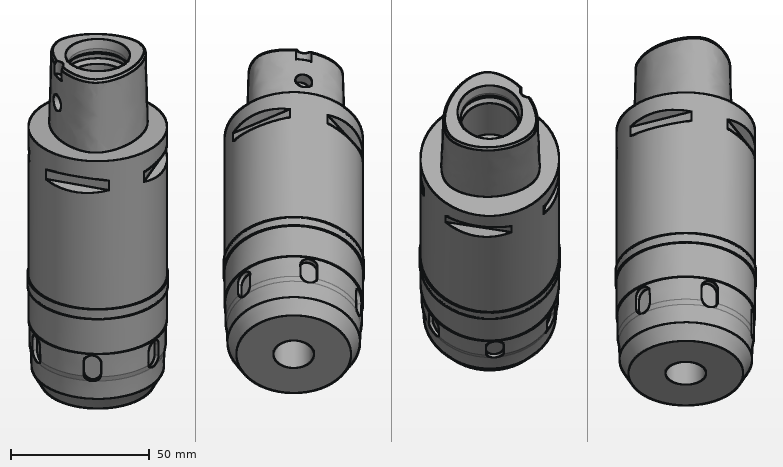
import cadquery as cq
import math

total_height = 135.0

body_radius = 25.0
collar_radius = 25.4
nose_tip_radius = 20.7
nose_radius = 23.9
nut_step_radius = 24.2
nut_rim_radius = 24.6
nut_top_radius = 24.7
nose_level = 6.0
nut_step_level = 13.5
nut_rim_level = 15.5
nut_top_level = 25.1
collar_bottom_level = 39.8
collar_top_level = 43.9

shank_length = 29.7
shank_base_radius = 35.5 / 2
shank_lobe = 1.12
shank_taper = 1 / 40
shank_curve_points = 72
shank_chamfer_height = 1.1
shank_chamfer_inset = 0.7
flange_level = total_height - shank_length

mouth_radius = 11.6
mouth_depth = 3.4
recess_radius = 10.5
recess_depth = shank_length
undercut_radius = 12.0
undercut_start_depth = 4.9
undercut_end_depth = 9.7
bore_radius = 7.3

notch_radius = 3.1
notch_centre_y = -17.0
notch_depth = 5.3
locating_hole_radius = 3.1
locating_hole_level = 119.2
locating_hole_floor = 11.9

groove_count = 4
groove_first_angle = 45
groove_level = 95.0
groove_floor_distance = 21.9
groove_floor_height = 3.9
groove_mouth_height = 6.6

slot_count = 6
slot_first_angle = 30
slot_width = 6.3
slot_length = 11.0
slot_level = 18.9
slot_floor_distance = 22.7

clearance = 1.4


def body_of_revolution():
    profile = [
        (0, 0),
        (nose_tip_radius, 0),
        (nose_radius, nose_level),
        (nut_step_radius, nut_step_level),
        (nut_rim_radius, nut_rim_level),
        (nut_top_radius, nut_top_level),
        (body_radius, nut_top_level),
        (body_radius, collar_bottom_level),
        (collar_radius, collar_bottom_level),
        (collar_radius, collar_top_level),
        (body_radius, collar_top_level),
        (body_radius, flange_level),
        (0, flange_level),
    ]
    return cq.Workplane("XZ").polyline(profile).close().revolve(360, (0, 0), (0, 1))


def shank_outline(mean_radius, level):
    """Closed constant-width curve with three lobes, one of them toward +Y."""

    def point(angle):
        reach = mean_radius - shank_lobe * math.sin(3 * angle)
        swing = -3 * shank_lobe * math.cos(3 * angle)
        x = reach * math.cos(angle) - swing * math.sin(angle)
        y = reach * math.sin(angle) + swing * math.cos(angle)
        return cq.Vector(x, y, level)

    points = [point(2 * math.pi * index / shank_curve_points) for index in range(shank_curve_points)]
    return cq.Wire.assembleEdges([cq.Edge.makeSpline(points, periodic=True)])


def shank_section(lower_radius, lower_level, upper_radius, upper_level):
    outlines = [shank_outline(lower_radius, lower_level), shank_outline(upper_radius, upper_level)]
    return cq.Workplane(cq.Solid.makeLoft(outlines, True))


def shank():
    chamfer_level = total_height - shank_chamfer_height
    chamfer_radius = shank_base_radius - shank_taper * (chamfer_level - flange_level)
    tip_radius = chamfer_radius - shank_chamfer_inset
    taper = shank_section(shank_base_radius, flange_level, chamfer_radius, chamfer_level)
    return taper.union(shank_section(chamfer_radius, chamfer_level, tip_radius, total_height))


def bore():
    """Stepped bore whose undercut has 45 degree ends."""
    undercut_slope = undercut_radius - recess_radius
    profile = [
        (0, -clearance),
        (bore_radius, -clearance),
        (bore_radius, total_height - recess_depth),
        (recess_radius, total_height - recess_depth),
        (recess_radius, total_height - undercut_end_depth),
        (undercut_radius, total_height - undercut_end_depth + undercut_slope),
        (undercut_radius, total_height - undercut_start_depth - undercut_slope),
        (recess_radius, total_height - undercut_start_depth),
        (recess_radius, total_height - mouth_depth),
        (mouth_radius, total_height),
        (mouth_radius, total_height + clearance),
        (0, total_height + clearance),
    ]
    return cq.Workplane("XZ").polyline(profile).close().revolve(360, (0, 0), (0, 1))


def key_notch():
    floor = cq.Workplane("XY").workplane(offset=total_height - notch_depth)
    return floor.center(0, notch_centre_y).circle(notch_radius).extrude(notch_depth + clearance)


def locating_hole():
    floor = cq.Workplane("XZ").workplane(offset=locating_hole_floor)
    return floor.center(0, locating_hole_level).circle(locating_hole_radius).extrude(body_radius)


def gripper_groove(angle):
    """Flat-floored groove whose walls flare out to the flange surface."""
    flare = (groove_mouth_height - groove_floor_height) / 2 / (body_radius - groove_floor_distance)
    outer = body_radius + clearance
    floor_half = groove_floor_height / 2
    outer_half = floor_half + flare * (outer - groove_floor_distance)
    section = [
        (groove_floor_distance, groove_level - floor_half),
        (outer, groove_level - outer_half),
        (outer, groove_level + outer_half),
        (groove_floor_distance, groove_level + floor_half),
    ]
    groove = cq.Workplane("XZ").polyline(section).close().extrude(body_radius, both=True)
    return groove.rotate((0, 0, 0), (0, 0, 1), angle)


def spanner_slot(angle):
    floor = cq.Workplane("YZ").workplane(offset=slot_floor_distance).center(0, slot_level)
    slot = floor.slot2D(slot_length, slot_width, 90).extrude(body_radius)
    return slot.rotate((0, 0, 0), (0, 0, 1), angle)


result = body_of_revolution().union(shank())
result = result.cut(bore()).cut(key_notch()).cut(locating_hole())
for index in range(groove_count):
    result = result.cut(gripper_groove(groove_first_angle + index * 360 / groove_count))
for index in range(slot_count):
    result = result.cut(spanner_slot(slot_first_angle + index * 360 / slot_count))